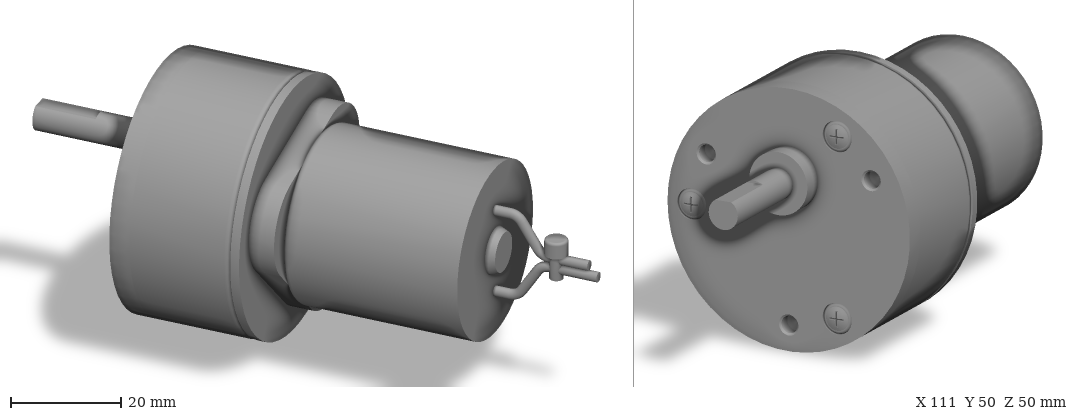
import cadquery as cq
import math


gearbox_radius = 25.0
cover_thickness = 4.0
boss_radius = 6.0
boss_length = 4.0
housing_rear = 24.0
rim_thickness = 1.75
groove_depth = 1.3
gearbox_rear = housing_rear + rim_thickness

hub_length = 5.0
hub_lobe_offset = 11.0
hub_lobe_radius = 10.0
hub_lobe_angles = (45.0, 165.0, 285.0)
motor_front = gearbox_rear + hub_length

shaft_radius = 3.0
shaft_height = 8.0
shaft_length = 25.0
shaft_depth = cover_thickness
flat_length = 12.0
flat_depth = 0.5

screw_circle_radius = 20.0
screw_angles = (0.0, 120.0, 240.0)
head_radius = 3.0
head_depth = 2.0
head_edge_radius = 0.7
dome_height = 0.55
thread_radius = 1.5
screw_length = 12.0
slot_length = 3.0
slot_width = 0.4
slot_depth = 0.8

mount_points = ((17.0, 10.0), (-17.0, 10.0), (0.0, -20.0))
mount_hole_radius = 1.65
mount_mouth_radius = 2.0
mount_hole_depth = 2.5
drill_half_angle = 59.0

motor_radius = 17.0
motor_rear = 65.5
motor_edge_radius = 1.25
cap_radius = 4.6
cap_length = 1.7
cap_end_radius = 3.85

wire_radius = 0.98
wire_offset = 8.35
wire_pair_offset = 1.0
wire_exit_length = 3.0
wire_bend_radius = 2.8
wire_bend_angle = 57.0
upper_wire_end = 84.2
lower_wire_end = 86.02

ferrule_x = 77.65
stem_radius = 1.3
stem_bottom = -3.0
button_radius = 2.2
button_bottom = 2.0
button_top = 5.2
button_edge_radius = 0.5


def rod(radius, start_x, end_x, y=0.0, z=0.0):
    """Solid cylinder along X."""
    return cq.Workplane("YZ", origin=(start_x, y, z)).circle(radius).extrude(end_x - start_x)


def screw_points():
    """Screw centres (y, z) on the cover's bolt circle."""
    return [
        (screw_circle_radius * math.cos(math.radians(a)), screw_circle_radius * math.sin(math.radians(a)))
        for a in screw_angles
    ]


def mount_hole_tool():
    """Drilled hole along +X from the origin, with a countersunk mouth and a conical bottom."""
    mouth_depth = mount_mouth_radius - mount_hole_radius
    tip_depth = mount_hole_radius / math.tan(math.radians(drill_half_angle))
    return (
        cq.Workplane("XY")
        .lineTo(0, mount_mouth_radius)
        .lineTo(mouth_depth, mount_hole_radius)
        .lineTo(mount_hole_depth, mount_hole_radius)
        .lineTo(mount_hole_depth + tip_depth, 0)
        .close()
        .revolve(360, (0, 0, 0), (1, 0, 0))
    )


def screw_blank():
    """Screw along +X without its drive slots: domed head with a rounded edge, plain shank."""
    rim_radius = head_radius - head_edge_radius
    dome_sphere = (rim_radius**2 + dome_height**2) / (2 * dome_height)
    mid_radius = rim_radius / 2
    mid_x = dome_sphere - dome_height - math.sqrt(dome_sphere**2 - mid_radius**2)
    arc_reach = head_edge_radius * math.sqrt(0.5)
    edge_middle = (head_edge_radius - arc_reach, rim_radius + arc_reach)
    return (
        cq.Workplane("XY")
        .moveTo(-dome_height, 0)
        .threePointArc((mid_x, mid_radius), (0, rim_radius))
        .threePointArc(edge_middle, (head_edge_radius, head_radius))
        .lineTo(head_depth, head_radius)
        .lineTo(head_depth, thread_radius)
        .lineTo(screw_length, thread_radius)
        .lineTo(screw_length, 0)
        .close()
        .revolve(360, (0, 0, 0), (1, 0, 0))
    )


def screw_at(y, z):
    """Cross-slotted cover screw."""
    slot_center_x = -dome_height + slot_depth / 2
    slot = cq.Workplane("XY").box(slot_depth, slot_length, slot_width).translate((slot_center_x, 0, 0))
    cross = slot.union(slot.rotate((0, 0, 0), (1, 0, 0), 90))
    return screw_blank().cut(cross).translate((0, y, z))


def screw_hole_at(y, z):
    """Counterbored hole that a cover screw fills."""
    counterbore = rod(head_radius, 0, head_depth)
    return counterbore.union(rod(thread_radius, 0, screw_length)).translate((0, y, z))


def drill_screw_holes(body):
    """Cut the holes of all cover screws from a body."""
    for y, z in screw_points():
        body = body.cut(screw_hole_at(y, z))
    return body


def make_cover():
    """Front cover disc with the shaft boss, screw holes and mounting holes."""
    body = rod(gearbox_radius, 0, cover_thickness)
    body = body.union(rod(boss_radius, -boss_length, 0, z=shaft_height))
    body = body.cut(rod(shaft_radius, -boss_length, shaft_depth, z=shaft_height))
    for y, z in mount_points:
        body = body.cut(mount_hole_tool().translate((0, y, z)))
    return drill_screw_holes(body)


def make_hub():
    """Rounded triangle: three lobes joined by their common tangents."""
    centers = [
        (hub_lobe_offset * math.cos(math.radians(a)), hub_lobe_offset * math.sin(math.radians(a)))
        for a in hub_lobe_angles
    ]
    triangle = cq.Workplane("YZ", origin=(gearbox_rear, 0, 0)).polyline(centers).close()
    return triangle.offset2D(hub_lobe_radius).extrude(hub_length)


def make_housing():
    """Gear housing with its rear rim set off by a rounded groove, and the hub behind it."""
    barrel = rod(gearbox_radius, cover_thickness, housing_rear).faces(">X").edges().fillet(groove_depth)
    rim = rod(gearbox_radius, housing_rear, gearbox_rear)
    return drill_screw_holes(barrel.union(rim).union(make_hub()))


def make_shaft():
    """Output shaft with a flat on top of its free end."""
    shaft = rod(shaft_radius, -shaft_length, shaft_depth, z=shaft_height)
    flat_bottom = shaft_height + shaft_radius - flat_depth
    flat = cq.Workplane("XY").box(flat_length, 2 * shaft_radius, flat_depth, centered=(False, True, False))
    return shaft.cut(flat.translate((-shaft_length, 0, flat_bottom)))


def make_motor():
    """Motor can with a rounded front edge and a tapered bearing cap at the rear."""
    can = rod(motor_radius, motor_front, motor_rear).faces("<X").edges().fillet(motor_edge_radius)
    cap = (
        cq.Workplane("YZ", origin=(motor_rear, 0, 0))
        .circle(cap_radius)
        .workplane(offset=cap_length)
        .circle(cap_end_radius)
        .loft(ruled=True)
    )
    return can.union(cap)


def make_wire(side, end_x):
    """Wire leaving the motor, bending to the centre and running on along X; side is +1 up, -1 down."""
    angle = math.radians(wire_bend_angle)
    bend_run = wire_bend_radius * math.sin(angle)
    bend_drop = wire_bend_radius * (1 - math.cos(angle))
    half_run = wire_bend_radius * math.sin(angle / 2)
    half_drop = wire_bend_radius * (1 - math.cos(angle / 2))
    slope_drop = wire_offset - wire_pair_offset - 2 * bend_drop
    slope_run = slope_drop / math.tan(angle)

    bend_1_start = motor_rear + wire_exit_length
    bend_1_end = bend_1_start + bend_run
    bend_2_start = bend_1_end + slope_run
    bend_2_end = bend_2_start + bend_run
    path = (
        cq.Workplane("XZ")
        .moveTo(motor_rear, side * wire_offset)
        .lineTo(bend_1_start, side * wire_offset)
        .threePointArc(
            (bend_1_start + half_run, side * (wire_offset - half_drop)),
            (bend_1_end, side * (wire_offset - bend_drop)),
        )
        .lineTo(bend_2_start, side * (wire_pair_offset + bend_drop))
        .threePointArc(
            (bend_2_end - half_run, side * (wire_pair_offset + half_drop)),
            (bend_2_end, side * wire_pair_offset),
        )
        .lineTo(end_x, side * wire_pair_offset)
    )
    section = cq.Workplane("YZ", origin=(motor_rear, 0, side * wire_offset)).circle(wire_radius)
    return section.sweep(path)


def make_ferrule(wires):
    """Upright stem that the wires pass through, with a round button on top."""
    base = cq.Workplane("XY", origin=(ferrule_x, 0, 0))
    stem = base.workplane(offset=stem_bottom).circle(stem_radius).extrude(button_bottom - stem_bottom)
    button = base.workplane(offset=button_bottom).circle(button_radius).extrude(button_top - button_bottom)
    ferrule = stem.union(button.faces(">Z").edges().fillet(button_edge_radius))
    for wire in wires:
        ferrule = ferrule.cut(wire)
    return ferrule


cover = make_cover()
housing = make_housing()
shaft = make_shaft()
motor = make_motor()
screws = [screw_at(y, z) for y, z in screw_points()]
wires = [make_wire(1, upper_wire_end), make_wire(-1, lower_wire_end)]
ferrule = make_ferrule(wires)

bodies = [cover, housing, shaft, motor, *screws, *wires, ferrule]
result = cq.Compound.makeCompound([body.solids().val() for body in bodies])